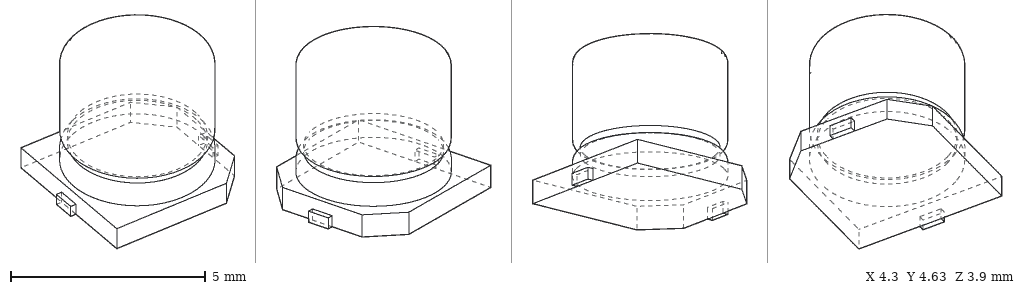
import cadquery as cq

base_width = 4.3
base_height = 0.64
base_chamfer = 0.855

lead_width = 0.64
lead_height = 0.32
lead_reach = 0.165

total_height = 3.9
can_radius = 4.0 / 2
neck_radius = 3.6 / 2
edge_radius = can_radius - neck_radius
lip_top = 1.22
neck_height = 0.2
shell_bottom = lip_top + neck_height

mark_offset = neck_radius / 2
mark_depth = 0.05


def make_base():
    """Square plate with its two +Y corners cut off."""
    plate = cq.Workplane("XY").box(base_width, base_width, base_height, centered=(True, True, False))
    return plate.edges("|Z and >Y").chamfer(base_chamfer)


def make_cylinder(radius, bottom, top):
    return cq.Workplane("XY").workplane(offset=bottom).circle(radius).extrude(top - bottom)


def make_mark():
    """Circular segment on the -Y side of the flat top."""
    disc = make_cylinder(neck_radius, total_height - mark_depth, total_height)
    segment_depth = neck_radius - mark_offset
    window = cq.Workplane("XY").box(2 * neck_radius, segment_depth, mark_depth, centered=(True, True, False))
    window_y = -(mark_offset + neck_radius) / 2
    return disc.intersect(window.translate((0, window_y, total_height - mark_depth)))


def make_can():
    """Lower lip, neck and rounded shell in one piece, with the mark outlined on top."""
    lip = make_cylinder(can_radius, base_height, lip_top).faces(">Z").edges().fillet(edge_radius)
    neck = make_cylinder(neck_radius, lip_top, shell_bottom)
    shell = make_cylinder(can_radius, shell_bottom, total_height).edges("%CIRCLE").fillet(edge_radius)
    can = lip.union(neck).union(shell)
    return can.union(make_mark(), clean=False)


def make_lead(side):
    """Lead stub against the side of the base: side is -1 for -Y, +1 for +Y."""
    stub = cq.Workplane("XY").box(lead_width, lead_reach, lead_height, centered=(True, True, False))
    return stub.translate((0, side * (base_width + lead_reach) / 2, 0))


base = make_base()
can = make_can()
leads = [make_lead(side).val() for side in (-1, 1)]

result = cq.Compound.makeCompound([base.val(), can.solids().val(), *leads])